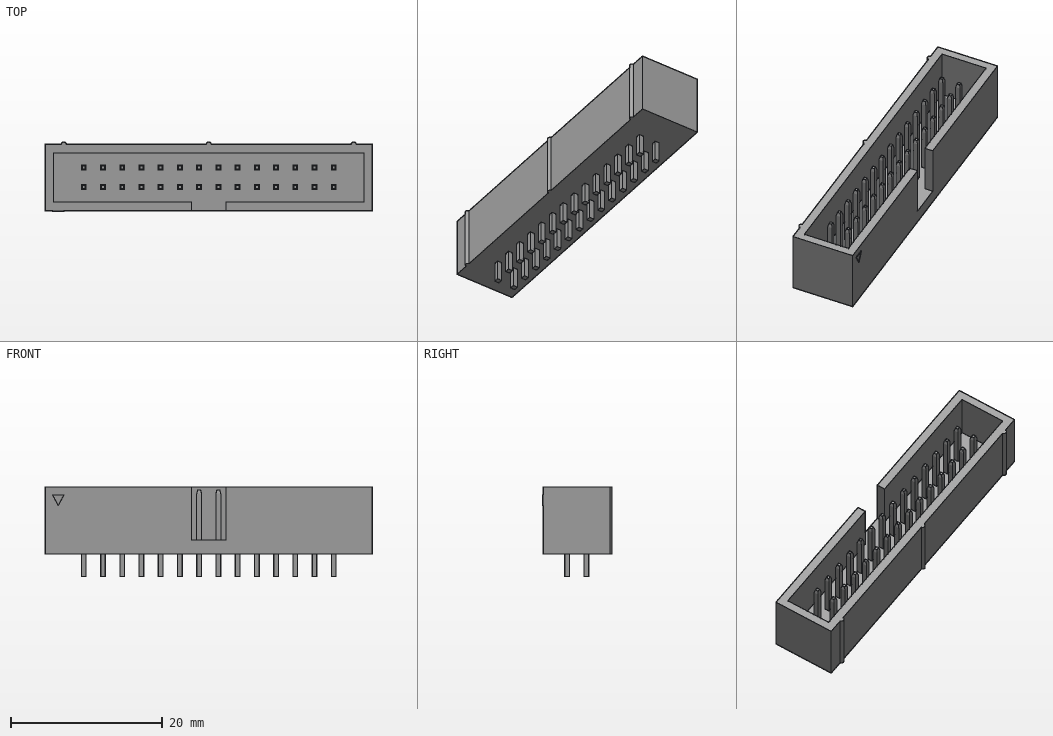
import cadquery as cq


length = 43.2
width = 8.8
height = 8.85
end_wall = 1.1
side_wall = 1.15
cavity_depth = 7.0
floor_thickness = height - cavity_depth

notch_width = 4.55

pins_per_row = 14
row_count = 2
row_length = 33.0
pitch = row_length / (pins_per_row - 1)
row_offset = 0.05
pin_size = 0.65
pin_tail = 3.0
pin_top_gap = 0.4
tip_height = 0.5
tip_inset = 0.15

rib_radius = 0.35
rib_projection = 0.3
rib_spacing = 19.15

mark_width = 1.5
mark_height = 1.43
mark_thickness = 0.1
mark_from_end = 1.75
mark_from_top = 1.05


def make_housing():
    box = cq.Workplane("XY").box(length, width, height, centered=(True, True, False))
    cavity = (
        cq.Workplane("XY")
        .workplane(offset=floor_thickness)
        .rect(length - 2 * end_wall, width - 2 * side_wall)
        .extrude(cavity_depth)
    )
    notch = (
        cq.Workplane("XY")
        .workplane(offset=floor_thickness)
        .center(0, -(width - side_wall) / 2)
        .rect(notch_width, side_wall)
        .extrude(cavity_depth)
    )
    return box.cut(cavity).cut(notch)


def make_ribs():
    """Full-height cylinders partly sunk into the back wall."""
    center_y = width / 2 + rib_projection - rib_radius
    return (
        cq.Workplane("XY")
        .pushPoints([(step * rib_spacing, center_y) for step in (-1, 0, 1)])
        .circle(rib_radius)
        .extrude(height)
    )


def make_mark():
    """Triangle pointing down, near the left end of the front wall."""
    center_x = mark_from_end - length / 2
    top_z = height - mark_from_top
    return (
        cq.Workplane("XZ", origin=(0, -width / 2, 0))
        .moveTo(center_x - mark_width / 2, top_z)
        .lineTo(center_x + mark_width / 2, top_z)
        .lineTo(center_x, top_z - mark_height)
        .close()
        .extrude(mark_thickness)
    )


def make_pin():
    """Square pin with a tapered tip, running from below the base up into the cavity."""
    shaft_top = height - pin_top_gap - tip_height
    tip_size = pin_size - 2 * tip_inset
    shaft = (
        cq.Workplane("XY")
        .workplane(offset=-pin_tail)
        .rect(pin_size, pin_size)
        .extrude(pin_tail + shaft_top)
    )
    tip = (
        cq.Workplane("XY")
        .workplane(offset=shaft_top)
        .rect(pin_size, pin_size)
        .workplane(offset=tip_height)
        .rect(tip_size, tip_size)
        .loft(ruled=True)
    )
    return shaft.union(tip)


result = make_housing().union(make_ribs()).union(make_mark())
pin = make_pin()
for column in range(pins_per_row):
    for row in range(row_count):
        pin_x = (column - (pins_per_row - 1) / 2) * pitch
        pin_y = (row - (row_count - 1) / 2) * pitch + row_offset
        result = result.union(pin.translate((pin_x, pin_y, 0)))